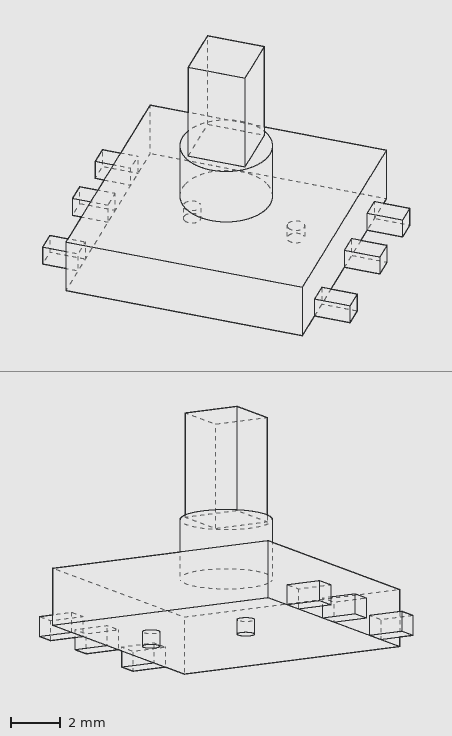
import cadquery as cq

lead_span = 13.0

housing_length = 10.0
housing_width = 10.4
housing_height = 2.34

collar_diameter = 3.7
collar_height = 2.43
stem_side = 2.4
stem_height = 4.28

peg_diameter = 0.7
peg_height = 0.6
peg_offset_x = 2.2
peg_y = 2.2

lead_length = (lead_span - housing_length) / 2
lead_width = 0.9
lead_height = 0.82
outer_lead_y = 3.25
middle_lead_y = 0.44
lead_rows = [-outer_lead_y, middle_lead_y, outer_lead_y]


def make_housing():
    """Block with its collar, stem and two locating pegs as one solid."""
    base_centered = (True, True, False)
    block = cq.Workplane("XY").box(housing_length, housing_width, housing_height, centered=base_centered)
    collar = cq.Workplane("XY", origin=(0, 0, housing_height)).circle(collar_diameter / 2).extrude(collar_height)
    stem_base = housing_height + collar_height
    stem = cq.Workplane("XY", origin=(0, 0, stem_base)).rect(stem_side, stem_side).extrude(stem_height)
    pegs = (
        cq.Workplane("XY")
        .pushPoints([(-peg_offset_x, peg_y), (peg_offset_x, peg_y)])
        .circle(peg_diameter / 2)
        .extrude(-peg_height)
    )
    return block.union(collar).union(stem).union(pegs)


def make_lead(side, y):
    """Rectangular lead against the housing; side is -1 or +1 along X."""
    x = side * (housing_length + lead_length) / 2
    return cq.Workplane("XY", origin=(x, y, 0)).rect(lead_length, lead_width).extrude(lead_height)


housing = make_housing()
leads = [make_lead(side, y) for side in (-1, 1) for y in lead_rows]

result = cq.Compound.makeCompound([housing.val(), *[lead.val() for lead in leads]])